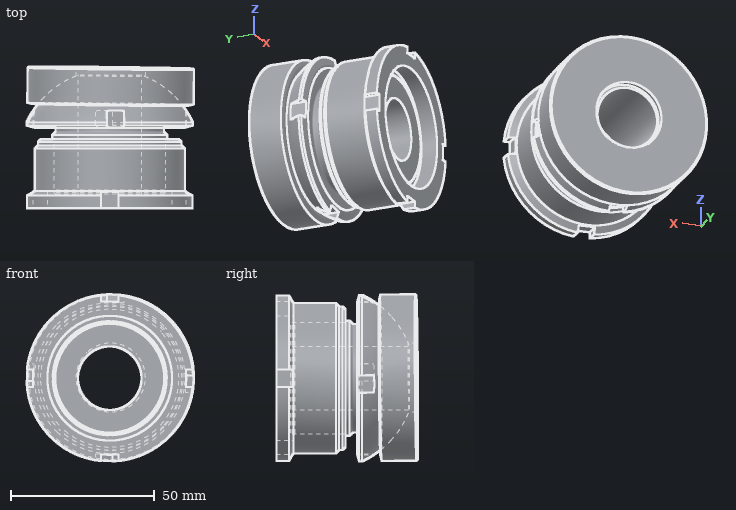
import cadquery as cq
import math


flange_radius = 29.0
bore_radius = 11.0

slot_count = 4
slot_width = 6.0
slot_floor_radius = 26.6
slot_block = 11.65

sleeve_length = 24.1
sleeve_flange_thickness = 4.4
sleeve_cone_end = 6.0
sleeve_radius = 26.2
sleeve_tip_radius = 25.0
sleeve_shoulder = 20.7
sleeve_tip_start = sleeve_shoulder + sleeve_radius - sleeve_tip_radius
sleeve_tip_chamfer = 1.0
recess_radius = 21.7
recess_depth = 6.0
sleeve_hole_chamfer = 0.4

pilot_radius = 19.4
stem_front = 5.0
pilot_chamfer = 0.45
collar_radius = 20.05
collar_end = 25.5
undercut_radius = 18.9
collar_chamfer = collar_radius - undercut_radius
undercut_fillet = 0.6
stem_flange_front = 28
stem_flange_face_radius = 26.05
stem_rim_start = 28.8
stem_rim_end = 29.85
stem_slot_turn = 4.2
groove_radius = 25.0
groove_depth = 1.0
groove_fillet = 0.6

sphere_centre = 16.35
sphere_radius = math.hypot(flange_radius, stem_rim_end - sphere_centre)

ring_front = 35.9
ring_back = 48.95
ring_bore_radius = 12.0
ring_front_cone_depth = 0.45
ring_front_face_radius = 27.0
ring_back_chamfer = 0.45
ring_tilt_about_x = 0.45
ring_tilt_about_z = -0.65


def sphere_y(radius):
    """Y of the spherical seat at a given distance from the axis."""
    return sphere_centre + math.sqrt(sphere_radius**2 - radius**2)


def sphere_r(y):
    """Distance of the spherical seat from the axis at a given Y."""
    return math.sqrt(sphere_radius**2 - (y - sphere_centre) ** 2)


def turn(outline):
    """Revolve a closed (radius, Y) outline once around the Y axis."""
    return outline.close().revolve(360, (0, 0, 0), (0, 1, 0))


def cut_slots(body, start, end, turn_angle):
    """Cut the flat-floored wrench slots through the rim between two Y values."""
    block = cq.Workplane("XY").box(slot_width, end - start, slot_block)
    block = block.translate((0, (start + end) / 2, slot_floor_radius + slot_block / 2))
    for i in range(slot_count):
        angle = turn_angle + i * 360 / slot_count
        body = body.cut(block.rotate((0, 0, 0), (0, 1, 0), angle))
    return body


def make_sleeve():
    outline = (
        cq.Workplane("XY")
        .moveTo(recess_radius, 0)
        .lineTo(flange_radius, 0)
        .lineTo(flange_radius, sleeve_flange_thickness)
        .lineTo(sleeve_radius, sleeve_cone_end)
        .lineTo(sleeve_radius, sleeve_shoulder)
        .lineTo(sleeve_tip_radius, sleeve_tip_start)
        .lineTo(sleeve_tip_radius, sleeve_length - sleeve_tip_chamfer)
        .lineTo(sleeve_tip_radius - sleeve_tip_chamfer, sleeve_length)
        .lineTo(pilot_radius, sleeve_length)
        .lineTo(pilot_radius, recess_depth + sleeve_hole_chamfer)
        .lineTo(pilot_radius + sleeve_hole_chamfer, recess_depth)
        .lineTo(recess_radius, recess_depth)
    )
    return cut_slots(turn(outline), 0, sleeve_cone_end, 0)


def make_stem():
    undercut_start = collar_end + collar_chamfer
    fillet_reach = undercut_fillet * math.tan(math.radians(45 / 2))
    fillet_offset = fillet_reach * math.sqrt(0.5)
    groove_floor = stem_flange_front + groove_depth
    dome_mid_y = (stem_rim_end + sphere_y(bore_radius)) / 2
    outline = (
        cq.Workplane("XY")
        .moveTo(bore_radius, stem_front)
        .lineTo(pilot_radius - pilot_chamfer, stem_front)
        .lineTo(pilot_radius, stem_front + pilot_chamfer)
        .lineTo(pilot_radius, sleeve_length)
        .lineTo(collar_radius, sleeve_length)
        .lineTo(collar_radius, collar_end)
        .lineTo(undercut_radius + fillet_offset, undercut_start - fillet_offset)
        .radiusArc((undercut_radius, undercut_start + fillet_reach), undercut_fillet)
        .lineTo(undercut_radius, groove_floor - groove_fillet)
        .radiusArc((undercut_radius + groove_fillet, groove_floor), groove_fillet)
        .lineTo(groove_radius - groove_fillet, groove_floor)
        .radiusArc((groove_radius, groove_floor - groove_fillet), groove_fillet)
        .lineTo(groove_radius, stem_flange_front)
        .lineTo(stem_flange_face_radius, stem_flange_front)
        .lineTo(flange_radius, stem_rim_start)
        .lineTo(flange_radius, stem_rim_end)
        .threePointArc((sphere_r(dome_mid_y), dome_mid_y), (bore_radius, sphere_y(bore_radius)))
    )
    return cut_slots(turn(outline), stem_flange_front, ring_front, stem_slot_turn)


def make_ring():
    seat_mid_y = (ring_front + sphere_y(ring_bore_radius)) / 2
    outline = (
        cq.Workplane("XY")
        .moveTo(sphere_r(ring_front), ring_front)
        .lineTo(ring_front_face_radius, ring_front)
        .lineTo(flange_radius, ring_front + ring_front_cone_depth)
        .lineTo(flange_radius, ring_back - ring_back_chamfer)
        .lineTo(flange_radius - ring_back_chamfer, ring_back)
        .lineTo(ring_bore_radius, ring_back)
        .lineTo(ring_bore_radius, sphere_y(ring_bore_radius))
        .threePointArc(
            (sphere_r(seat_mid_y), seat_mid_y),
            (sphere_r(ring_front), ring_front),
        )
    )
    centre = cq.Vector(0, sphere_centre, 0)
    ring = turn(outline)
    ring = ring.rotate(centre, centre + cq.Vector(0.6, 0, 0), ring_tilt_about_x)
    return ring.rotate(centre, centre + cq.Vector(0, 0, 0.6), ring_tilt_about_z)


sleeve = make_sleeve()
stem = make_stem()
ring = make_ring()

result = cq.Compound.makeCompound([sleeve.val(), stem.val(), ring.val()])